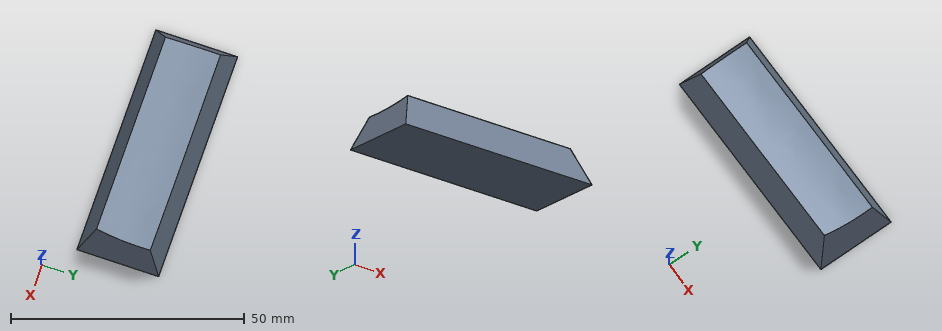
import math

import cadquery as cq

LENGTH = 52.05
WIDTH = 18.6
FRONT_HEIGHT = 8.65
BACK_HEIGHT = 7.55
WALL_INSET = 3.35

END_SAG = 0.45
MIDDLE_SAG = 0.5
BACK_EDGE_DROP = 0.15

wall_lean = WALL_INSET / FRONT_HEIGHT
draft_angle = math.degrees(math.atan(wall_lean))


def top_section(x, back_height, sag):
    """Closed profile at x, filling the space above the dished top."""
    front_y = -WIDTH / 2 + WALL_INSET
    back_y = WIDTH / 2 - wall_lean * back_height
    front = (front_y, FRONT_HEIGHT)
    back = (back_y, back_height)
    arc_middle = ((front_y + back_y) / 2, (FRONT_HEIGHT + back_height) / 2 - sag)
    clear_height = 2 * FRONT_HEIGHT
    return (
        cq.Workplane("YZ", origin=(x, 0, 0))
        .moveTo(*front)
        .threePointArc(arc_middle, back)
        .lineTo(WIDTH, back_height)
        .lineTo(WIDTH, clear_height)
        .lineTo(front_y, clear_height)
        .close()
        .wires()
        .val()
    )


def make_cap():
    """Keycap block: four leaning walls under a dished top."""
    block = cq.Workplane("XY").rect(LENGTH, WIDTH).extrude(FRONT_HEIGHT, taper=draft_angle)
    sections = [
        top_section(-LENGTH / 2, BACK_HEIGHT, END_SAG),
        top_section(0, BACK_HEIGHT - BACK_EDGE_DROP, MIDDLE_SAG),
        top_section(LENGTH / 2, BACK_HEIGHT, END_SAG),
    ]
    dish = cq.Solid.makeLoft(sections)
    return block.cut(cq.Workplane(obj=dish))


cap = make_cap()

result = cq.Compound.makeCompound([cap.val()])